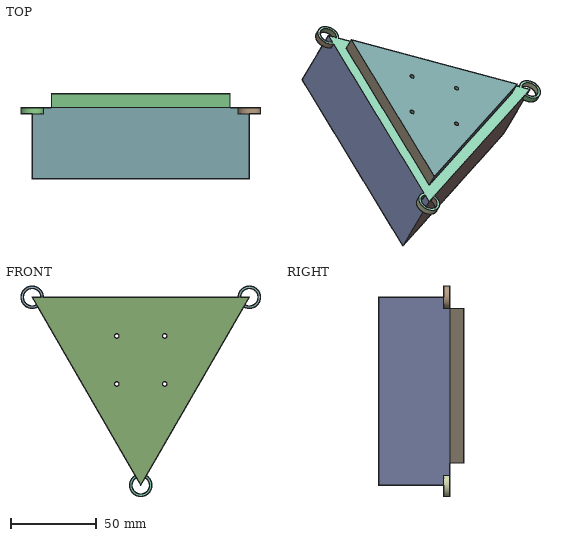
import cadquery as cq
import math

overall_width = 139.5
ring_diameter = 13.1
ring_bore = 10.0
ring_thickness = 3.6
housing_side = overall_width - ring_diameter
housing_depth = 41.4

plate_side = 104.0
plate_thickness = 8.1

hole_diameter = 2.5
hole_spacing = 27.9


def triangle_corners(side):
    """Corners of an equilateral triangle centred on the origin, one pointing down."""
    radius = side / math.sqrt(3)
    return [
        (radius * math.cos(math.radians(angle)), radius * math.sin(math.radians(angle)))
        for angle in (30, 150, 270)
    ]


def plane_at(y):
    """XZ plane at the given Y whose positive extrusions run toward -Y."""
    return cq.Workplane("XZ", origin=(0, y, 0))


def triangular_prism(side, front_y, depth):
    return plane_at(front_y).polyline(triangle_corners(side)).close().extrude(-depth)


housing = triangular_prism(housing_side, 0, housing_depth)
plate = triangular_prism(plate_side, housing_depth, plate_thickness)

rings = (
    plane_at(housing_depth)
    .pushPoints(triangle_corners(housing_side))
    .circle(ring_diameter / 2)
    .circle(ring_bore / 2)
    .extrude(ring_thickness)
)

holes = (
    plane_at(0)
    .rect(hole_spacing, hole_spacing, forConstruction=True)
    .vertices()
    .circle(hole_diameter / 2)
    .extrude(-(housing_depth + plate_thickness))
)

result = housing.union(plate).union(rings).cut(holes)